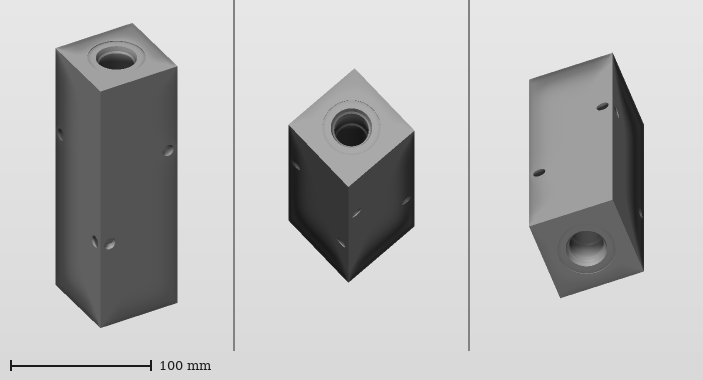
import cadquery as cq

HEIGHT = 203.2
SIDE = 63.5

BORE_DIAMETER = 22.1
SPOTFACE_DIAMETER = 41.2
SPOTFACE_DEPTH = 0.6
PORT_MOUTH_DIAMETER = 29.5
PORT_SEAT_DIAMETER = 27.0
PORT_SEAT_DEPTH = 3.3
THREAD_DIAMETER = 24.5
THREAD_START_DEPTH = 4.5
THREAD_END_DEPTH = 24.4
BORE_START_DEPTH = THREAD_END_DEPTH + (THREAD_DIAMETER - BORE_DIAMETER) / 2

MOUNT_DIAMETER = 9.1
MOUNT_EDGE_DISTANCE = 7.7
MOUNT_OFFSET = SIDE / 2 - MOUNT_EDGE_DISTANCE
MOUNT_SPACING = 63.5


def end_port():
    """Cavity of the top port and the upper half of the bore, revolved about Z."""
    top = HEIGHT / 2
    mouth = top - SPOTFACE_DEPTH
    return (
        cq.Workplane("YZ")
        .moveTo(0, top)
        .lineTo(SPOTFACE_DIAMETER / 2, top)
        .lineTo(SPOTFACE_DIAMETER / 2, mouth)
        .lineTo(PORT_MOUTH_DIAMETER / 2, mouth)
        .lineTo(PORT_SEAT_DIAMETER / 2, mouth - PORT_SEAT_DEPTH)
        .lineTo(THREAD_DIAMETER / 2, mouth - THREAD_START_DEPTH)
        .lineTo(THREAD_DIAMETER / 2, mouth - THREAD_END_DEPTH)
        .lineTo(BORE_DIAMETER / 2, mouth - BORE_START_DEPTH)
        .lineTo(BORE_DIAMETER / 2, 0)
        .lineTo(0, 0)
        .close()
        .revolve(360, (0, 0, 0), (0, 1, 0))
    )


def mounting_hole():
    """Cylinder along Z as long as the block is wide, centred on the origin."""
    return cq.Workplane("XY").circle(MOUNT_DIAMETER / 2).extrude(SIDE / 2, both=True)


block = cq.Workplane("XY").box(SIDE, SIDE, HEIGHT)

port = end_port()
block = block.cut(port).cut(port.mirror("XY"))

hole_along_x = mounting_hole().rotate((0, 0, 0), (0, 1, 0), 90)
hole_along_y = mounting_hole().rotate((0, 0, 0), (1, 0, 0), 90)
for side in (1, -1):
    z = side * MOUNT_SPACING / 2
    block = block.cut(hole_along_x.translate((0, side * MOUNT_OFFSET, z)))
    block = block.cut(hole_along_y.translate((-side * MOUNT_OFFSET, 0, z)))

result = block